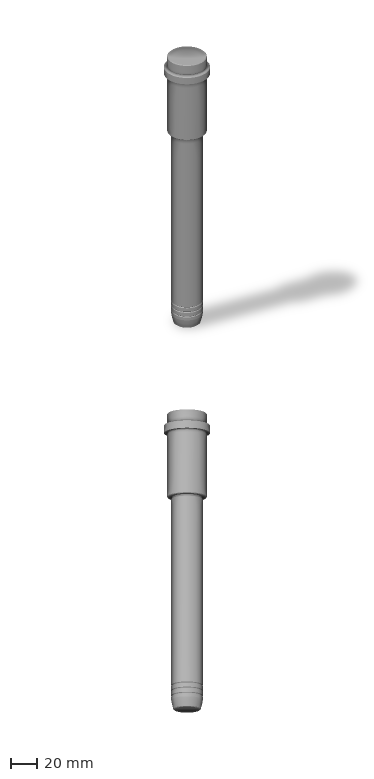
import cadquery as cq
import math

total_length = 230.0
shank_length = 65.0
head_height = 9.0
collar_height = 6.0
tip_height = 7.5

pin_radius = 12.0
shank_radius = 15.0
collar_radius = 17.5
tip_end_radius = 10.25
tip_bulge = 0.15

shank_chamfer = 0.5
collar_chamfer = 0.5
tip_chamfer = 0.5
relief_width = 1.5
relief_depth = 0.5
undercut_width = 1.0
undercut_depth = 0.3
oil_groove_width = 1.0
oil_groove_depth = 0.5
oil_groove_count = 3
oil_groove_pitch = 4.0
first_oil_groove_height = 10.5

shank_bottom = total_length - shank_length
collar_top = total_length - head_height
collar_bottom = collar_top - collar_height


def cylinder(radius, bottom, top):
    """Solid cylinder on the Z axis between two levels."""
    return cq.Workplane("XY").workplane(offset=bottom).circle(radius).extrude(top - bottom)


def ring_cut(outer_radius, depth, bottom, width):
    """Square-sided ring that cuts a groove into a cylinder."""
    outer = cylinder(outer_radius, bottom, bottom + width)
    return outer.cut(cylinder(outer_radius - depth, bottom, bottom + width))


def vee_groove(cylinder_radius, depth, width, centre):
    """Ring of triangular section that cuts a vee groove into a cylinder at the given level."""
    section = cq.Workplane("XZ").polyline([
        (cylinder_radius, centre - width / 2),
        (cylinder_radius - depth, centre),
        (cylinder_radius, centre + width / 2),
    ])
    return section.close().revolve(360, (0, 0, 0), (0, 1, 0))


def make_pin():
    """Guide pin with a convex tapering tip."""
    taper = pin_radius - tip_end_radius
    chord = math.hypot(taper, tip_height)
    arc_mid = (
        (pin_radius + tip_end_radius) / 2 + tip_bulge * tip_height / chord,
        tip_height / 2 - tip_bulge * taper / chord,
    )
    profile = (
        cq.Workplane("XZ")
        .lineTo(tip_end_radius, 0)
        .threePointArc(arc_mid, (pin_radius, tip_height))
        .lineTo(pin_radius, shank_bottom)
        .lineTo(0, shank_bottom)
        .close()
    )
    pin = profile.revolve(360, (0, 0, 0), (0, 1, 0)).faces("<Z").chamfer(tip_chamfer)
    for index in range(oil_groove_count):
        centre = first_oil_groove_height + index * oil_groove_pitch
        pin = pin.cut(vee_groove(pin_radius, oil_groove_depth, oil_groove_width, centre))
    return pin.cut(ring_cut(pin_radius, relief_depth, shank_bottom - relief_width, relief_width))


def make_shank():
    """Fitted body, chamfered at both ends, with an undercut on each side of the collar."""
    shank = cylinder(shank_radius, shank_bottom, total_length).faces("<Z or >Z").chamfer(shank_chamfer)
    for centre in (collar_top + undercut_width / 2, collar_bottom - undercut_width / 2):
        shank = shank.cut(vee_groove(shank_radius, undercut_depth, undercut_width, centre))
    return shank


def make_collar():
    """Locating collar with its upper rim chamfered."""
    return cylinder(collar_radius, collar_bottom, collar_top).faces(">Z").edges().chamfer(collar_chamfer)


result = make_pin().union(make_shank()).union(make_collar())